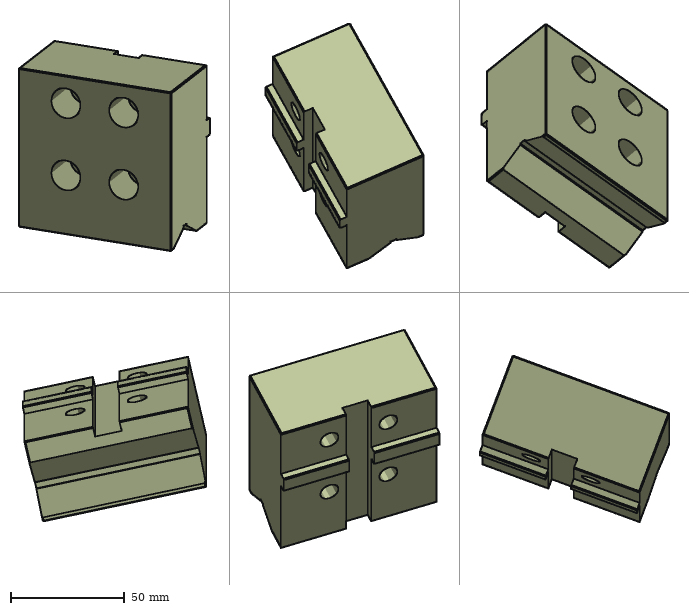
import cadquery as cq
import math

WIDTH = 74.0
BODY_DEPTH = 38.0
HEIGHT = 75.0
EDGE_CHAMFER = 0.5

TONGUE_PROJECTION = 3.5
TONGUE_HEIGHT = 8.0
TONGUE_Z = 45.0
TOTAL_DEPTH = BODY_DEPTH + TONGUE_PROJECTION

KEYWAY_WIDTH = 12.0
KEYWAY_DEPTH = 8.0

VEE_Y = 15.0
VEE_DEPTH = 7.5
VEE_FLANK_ANGLE = 30.0
RELIEF_WIDTH = 3.0

BOLT_DIAMETER = 8.5
COUNTERBORE_DIAMETER = 14.0
COUNTERBORE_DEPTH = 20.0
BOLT_SPACING_X = 28.0
BOLT_SPACING_Z = 34.0
BOLT_ROWS = 2
BOLT_COLUMNS = 2
BOLT_PATTERN_Z = TONGUE_Z


def x_bar(depth, height, y_start, z_start):
    """Rectangular bar spanning the full width of the block."""
    bar = cq.Workplane("XY").box(WIDTH, depth, height, centered=(True, False, False))
    return bar.translate((0, y_start, z_start))


def make_body():
    """Block chamfered on every edge except the two vertical back edges."""
    block = x_bar(BODY_DEPTH, HEIGHT, 0, 0)
    return block.edges("<Y or >Z or <Z").chamfer(EDGE_CHAMFER)


def make_tongue():
    """Tongue with its two long outer edges chamfered."""
    tongue = x_bar(TONGUE_PROJECTION, TONGUE_HEIGHT, BODY_DEPTH, TONGUE_Z - TONGUE_HEIGHT / 2)
    return tongue.faces(">Y").edges("|X").chamfer(EDGE_CHAMFER)


def make_keyway():
    keyway = cq.Workplane("XY").box(KEYWAY_WIDTH, KEYWAY_DEPTH, HEIGHT, centered=(True, False, False))
    return keyway.translate((0, TOTAL_DEPTH - KEYWAY_DEPTH, 0))


def make_vee():
    """V-groove cutter whose apex lies on the flat top of the relief slot."""
    half_width = VEE_DEPTH / math.tan(math.radians(VEE_FLANK_ANGLE))
    vee = (
        cq.Workplane("YZ")
        .moveTo(VEE_Y - half_width, 0)
        .lineTo(VEE_Y + half_width, 0)
        .lineTo(VEE_Y, VEE_DEPTH)
        .close()
        .extrude(WIDTH / 2, both=True)
    )
    return vee.union(x_bar(RELIEF_WIDTH, VEE_DEPTH, VEE_Y - RELIEF_WIDTH / 2, 0))


def make_bolt_cutters():
    """Through holes and front counterbores on a rectangular grid."""
    pattern = (
        cq.Workplane("XZ")
        .center(0, BOLT_PATTERN_Z)
        .rarray(BOLT_SPACING_X, BOLT_SPACING_Z, BOLT_COLUMNS, BOLT_ROWS)
    )
    holes = pattern.circle(BOLT_DIAMETER / 2).extrude(-BODY_DEPTH)
    counterbores = pattern.circle(COUNTERBORE_DIAMETER / 2).extrude(-COUNTERBORE_DEPTH)
    return holes.union(counterbores)


result = (
    make_body()
    .union(make_tongue())
    .cut(make_keyway())
    .cut(make_vee())
    .cut(make_bolt_cutters())
)